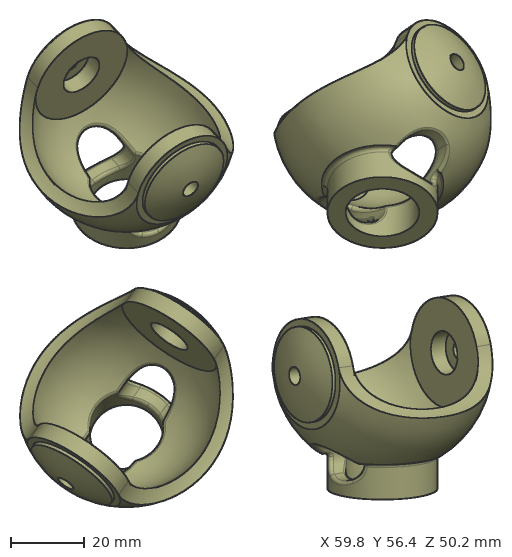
import math

import cadquery as cq

bowl_outer_radius = 30.0
bowl_inner_radius = 26.0
arm_radius = 15.17
arm_inner_x = 21.0
arm_outer_x = math.sqrt(bowl_outer_radius**2 - arm_radius**2)

rim_sweep_radius = 22.1
rim_sweep_angle = math.radians(16.3)

arm_shoulder = 2.0
cap_radius = arm_radius - arm_shoulder
pin_hole_radius = 2.5
pin_pocket_radius = 6.0
pin_pocket_floor_x = 26.0

neck_outer_radius = 15.0
neck_bore_radius = 10.0
neck_bottom_z = -35.0
bowl_flat_z = -25.0

window_half_width = 7.4
window_half_height = 5.45
window_side_radius = 4.95
window_center_z = -25.5

edge_fillet = 1.0
long_enough = 4 * bowl_outer_radius
tolerance = 0.1
contact_gap = 0.001


def x_cylinder(radius, start_x, end_x):
    return cq.Workplane("YZ").workplane(offset=start_x).circle(radius).extrude(end_x - start_x)


def z_cylinder(radius, bottom_z, top_z):
    return cq.Workplane("XY").workplane(offset=bottom_z).circle(radius).extrude(top_z - bottom_z)


def ball(radius):
    """Sphere with its seam turned to the Y side, clear of the window."""
    return cq.Workplane("XY").sphere(radius).rotate((0, 0, 0), (0, 0, 1), 90)


def slab(half_x, bottom_z):
    """Block centred on the Z axis, reaching from bottom_z up past the bowl."""
    return (
        cq.Workplane("XY")
        .workplane(offset=bottom_z)
        .rect(2 * half_x, long_enough)
        .extrude(long_enough)
    )


def side_outline():
    """Arm circle and flared rim in the YZ plane, extruded through the whole width."""
    direction_y = math.cos(rim_sweep_angle)
    direction_z = math.sin(rim_sweep_angle)
    center_distance = arm_radius + rim_sweep_radius
    center_y = center_distance * direction_y
    center_z = center_distance * direction_z
    tangent_y = arm_radius * direction_y
    tangent_z = arm_radius * direction_z
    sweep_middle_y = center_y - rim_sweep_radius * math.sin(math.pi / 4)
    sweep_middle_z = center_z - rim_sweep_radius * math.cos(math.pi / 4)
    sweep_end_z = center_z - rim_sweep_radius
    return (
        cq.Workplane("YZ")
        .workplane(offset=-long_enough / 2)
        .moveTo(-tangent_y, tangent_z)
        .threePointArc((0, arm_radius), (tangent_y, tangent_z))
        .threePointArc((sweep_middle_y, sweep_middle_z), (center_y, sweep_end_z))
        .lineTo(center_y, 2 * neck_bottom_z)
        .lineTo(-center_y, 2 * neck_bottom_z)
        .lineTo(-center_y, sweep_end_z)
        .threePointArc((-sweep_middle_y, sweep_middle_z), (-tangent_y, tangent_z))
        .close()
        .extrude(long_enough)
    )


def level_edges(body, radius, height):
    """Edges lying wholly at the given height and within the given radius of the Z axis."""
    reach = radius + tolerance
    box = cq.selectors.BoxSelector(
        (-reach, -reach, height - tolerance),
        (reach, reach, height + tolerance),
        boundingbox=True,
    )
    return body.edges(box).vals()


def lies_on(edge, shell):
    """True when sample points along the edge all touch the shell."""
    samples = [edge.positionAt(fraction) for fraction in (0.2, 0.5, 0.8)]
    gaps = [cq.Vertex.makeVertex(*point.toTuple()).distance(shell) for point in samples]
    return max(gaps) < contact_gap


def shared_edges(body, first, second):
    """Edges of the body where the skins of two other solids meet."""
    first_shell = first.val().Shells()[0]
    second_shell = second.val().Shells()[0]
    edges = body.edges().vals()
    return [edge for edge in edges if lies_on(edge, first_shell) and lies_on(edge, second_shell)]


def outer_body():
    """Solid bowl with flat sides and bottom, joined to the neck by a fillet."""
    bowl = ball(bowl_outer_radius).intersect(slab(arm_outer_x, bowl_flat_z))
    neck = z_cylinder(neck_outer_radius, neck_bottom_z, 0)
    body = bowl.union(neck)
    corner = level_edges(body, neck_outer_radius, bowl_flat_z)
    return body.newObject(corner).fillet(edge_fillet)


def hollow():
    """Bowl cavity, flat beside the arms, with the neck bore below it."""
    cavity = ball(bowl_inner_radius).intersect(slab(arm_inner_x, -bowl_outer_radius))
    return cavity.union(z_cylinder(neck_bore_radius, 2 * neck_bottom_z, 0))


def window():
    """Oval of four tangent arcs, extruded through the whole width."""
    side_center_y = window_half_width - window_side_radius
    crown_radius = (
        window_half_height**2 - window_side_radius**2 + side_center_y**2
    ) / (2 * (window_half_height - window_side_radius))
    crown_center_offset = crown_radius - window_half_height
    scale_to_joint = crown_radius / (crown_radius - window_side_radius)
    joint_y = side_center_y * scale_to_joint
    joint_z = crown_center_offset * (scale_to_joint - 1)
    return (
        cq.Workplane("YZ", origin=(-long_enough / 2, 0, window_center_z))
        .moveTo(-joint_y, joint_z)
        .threePointArc((0, window_half_height), (joint_y, joint_z))
        .threePointArc((window_half_width, 0), (joint_y, -joint_z))
        .threePointArc((0, -window_half_height), (-joint_y, -joint_z))
        .threePointArc((-window_half_width, 0), (-joint_y, joint_z))
        .close()
        .extrude(long_enough)
    )


def bowl_with_window():
    """Hollow bowl and neck with the window cut through and its edges rounded."""
    outer = outer_body()
    inner = hollow()
    opening = window()
    body = outer.cut(inner).cut(opening)
    bore_top_z = -math.sqrt(bowl_inner_radius**2 - neck_bore_radius**2)
    rounded_edges = (
        shared_edges(body, outer, opening)
        + shared_edges(body, inner, opening)
        + level_edges(body, neck_bore_radius, bore_top_z)
    )
    return body.newObject(rounded_edges).fillet(edge_fillet)


def right_cap():
    """Cap on the +X arm, domed to the same sphere as the bowl."""
    cap_edge_x = math.sqrt(bowl_outer_radius**2 - cap_radius**2)
    dome_middle_angle = math.asin(cap_radius / bowl_outer_radius) / 2
    dome_middle_x = bowl_outer_radius * math.cos(dome_middle_angle)
    dome_middle_radius = bowl_outer_radius * math.sin(dome_middle_angle)
    return (
        cq.Workplane("XY")
        .moveTo(arm_inner_x, 0)
        .lineTo(arm_inner_x, cap_radius)
        .lineTo(cap_edge_x, cap_radius)
        .threePointArc((dome_middle_x, dome_middle_radius), (bowl_outer_radius, 0))
        .close()
        .revolve(360, (0, 0, 0), (1, 0, 0))
    )


result = bowl_with_window().intersect(side_outline())
result = result.union(right_cap()).union(right_cap().mirror("YZ"))
result = result.cut(x_cylinder(pin_hole_radius, -long_enough, long_enough))
result = result.cut(x_cylinder(pin_pocket_radius, -pin_pocket_floor_x, pin_pocket_floor_x))